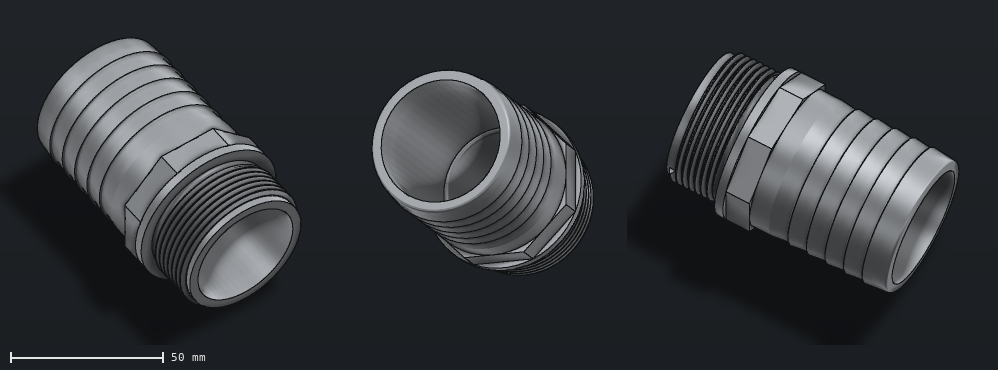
import cadquery as cq
import math


total_length = 84.2

barb_count = 6
barb_pitch = 7.0
first_barb_end = 8.9
barb_root_radius = 24.3
barb_root_fillet = 0.5
mouth_fillet = 0.95

octagon_sides = 8
octagon_start = 51.3
octagon_length = 8.9
octagon_across_flats = 50.2
barb_tip_radius = octagon_across_flats / 2
octagon_corner_diameter = octagon_across_flats / math.cos(math.pi / octagon_sides)
flange_start = octagon_start + octagon_length
flange_radius = octagon_corner_diameter / 2
flange_thickness = 3.2
flange_end = flange_start + flange_thickness

thread_pitch = 2.309
thread_crest_radius = 23.95
thread_root_radius = 22.4
thread_crest_width = 0.4
thread_root_land = 0.1
thread_turns = 7
thread_end = 82.0
thread_embed = 0.3

relief_offset = 1.5
relief_center = flange_end + relief_offset
relief_end = 66.55
relief_floor_radius = 22.15
relief_arc_radius = 2.0

hose_bore_radius = 20.75
thread_bore_radius = 19.1
shoulder_position = flange_start
shoulder_fillet = 1.1


def relief_radius(x):
    """Radius of the rounded relief floor at axial position x."""
    offset = x - relief_center
    return relief_floor_radius + relief_arc_radius - math.sqrt(relief_arc_radius**2 - offset**2)


def add_arc(profile, center, radius, start_angle, end_angle):
    """Append an arc about center, starting where the profile now ends."""

    def on_arc(angle):
        turn = math.radians(angle)
        return (center[0] + radius * math.cos(turn), center[1] + radius * math.sin(turn))

    return profile.threePointArc(on_arc((start_angle + end_angle) / 2), on_arc(end_angle))


def add_barbs(profile):
    """Append saw-tooth barbs, each dropping from its tip to a filleted root."""
    for index in range(barb_count - 1):
        tip = first_barb_end + index * barb_pitch
        fillet_center = (tip + barb_root_fillet, barb_root_radius + barb_root_fillet)
        profile = profile.lineTo(tip, barb_tip_radius).lineTo(tip, fillet_center[1])
        profile = add_arc(profile, fillet_center, barb_root_fillet, 180, 270)
    last_tip = first_barb_end + (barb_count - 1) * barb_pitch
    return profile.lineTo(last_tip, barb_tip_radius)


def make_turned_body():
    """All turned surfaces, inside and out, as one revolve."""
    profile = cq.Workplane("XZ").moveTo(0, hose_bore_radius).lineTo(0, barb_root_radius - mouth_fillet)
    mouth_center = (mouth_fillet, barb_root_radius - mouth_fillet)
    profile = add_arc(profile, mouth_center, mouth_fillet, 180, 90)
    profile = add_barbs(profile)

    profile = (
        profile.lineTo(octagon_start, barb_tip_radius)
        .lineTo(octagon_start, barb_root_radius)
        .lineTo(flange_start, barb_root_radius)
        .lineTo(flange_start, flange_radius)
        .lineTo(flange_end, flange_radius)
        .lineTo(flange_end, relief_radius(flange_end))
        .threePointArc((relief_center, relief_floor_radius), (relief_end, relief_radius(relief_end)))
        .lineTo(relief_end, thread_root_radius)
        .lineTo(total_length, thread_root_radius)
    )

    shoulder_center = (shoulder_position + shoulder_fillet, thread_bore_radius + shoulder_fillet)
    profile = (
        profile.lineTo(total_length, thread_bore_radius)
        .lineTo(shoulder_center[0], thread_bore_radius)
    )
    profile = add_arc(profile, shoulder_center, shoulder_fillet, 270, 180)
    profile = profile.lineTo(shoulder_position, hose_bore_radius).close()
    return profile.revolve(360, (0, 0, 0), (1, 0, 0))


def make_octagon():
    """Octagonal ring around the tail, flats facing +/-Y and +/-Z."""
    return (
        cq.Workplane("YZ")
        .workplane(offset=octagon_start)
        .transformed(rotate=(0, 0, 180 / octagon_sides))
        .polygon(octagon_sides, octagon_corner_diameter)
        .circle(hose_bore_radius)
        .extrude(octagon_length)
    )


def make_thread_ridge():
    """Right-handed helical ridge, cut square at the relief and ending on the +Y side."""
    inner_radius = thread_root_radius - thread_embed
    half_base = (thread_pitch - thread_root_land) / 2
    half_crest = thread_crest_width / 2
    length = thread_turns * thread_pitch
    helix = cq.Wire.makeHelix(thread_pitch, length, inner_radius)
    ridge = (
        cq.Workplane("XZ")
        .polyline(
            [
                (inner_radius, -half_base),
                (thread_root_radius, -half_base),
                (thread_crest_radius, -half_crest),
                (thread_crest_radius, half_crest),
                (thread_root_radius, half_base),
                (inner_radius, half_base),
            ]
        )
        .close()
        .sweep(cq.Workplane(obj=helix), isFrenet=True)
    )
    ridge = ridge.rotate((0, 0, 0), (1, 1, 1), 120).translate((thread_end - length, 0, 0))
    trim_side = 2 * flange_radius
    trim = (
        cq.Workplane("YZ")
        .workplane(offset=relief_end)
        .rect(trim_side, trim_side)
        .extrude(flange_start - relief_end)
    )
    return ridge.cut(trim)


body = make_turned_body().union(make_octagon())
result = body.union(make_thread_ridge(), clean=False)